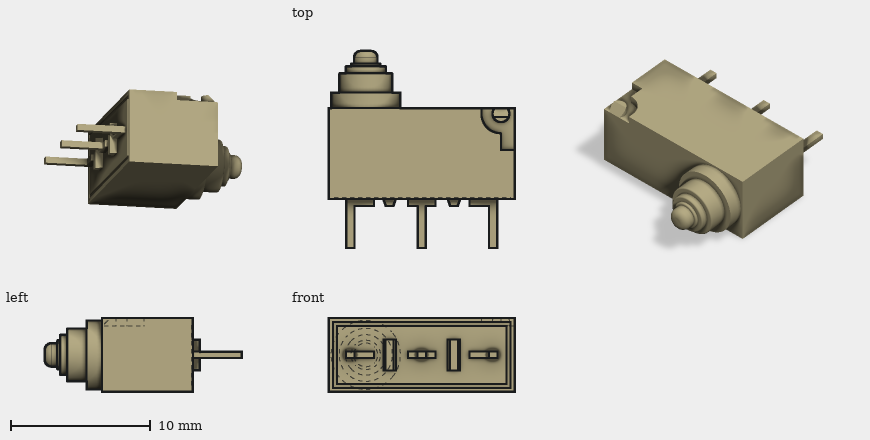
import cadquery as cq


case_length = 13.3
case_depth = 6.5
case_thickness = 5.3
case_right = case_length / 2
case_top = case_thickness / 2

groove_outer_margin = 0.3
groove_inner_margin = 0.58
groove_depth = 0.1

plunger_x = -4.0
plunger_steps = [
    (4.95, 1.1, 0),
    (3.8, 2.5, 0.1),
    (2.9, 3.0, 0.1),
    (2.1, 3.2, 0.1),
    (1.7, 4.1, 0.5),
]

post_diameter = 1.2
post_x = case_right - 0.99
post_y = case_depth - 0.4
post_crest_y = case_depth - 0.62
recess_radius = 1.4
recess_depth = 0.6
recess_foot_y = case_depth - 3.0

terminal_pitch = 5.1
terminal_width = 0.6
terminal_thickness = 0.45
terminal_length = 3.5
terminal_bar_length = 2.0
terminal_bar_height = 0.5
outer_bar_shift = (terminal_bar_length - terminal_width) / 2

rib_x = 2.3
rib_base_width = 0.9
rib_tip_width = 0.55
rib_height = 0.5
rib_span = 2.2


def box_on_terminal_face(x, length, reach, thickness):
    """Block centred on x and on Z = 0, standing out from the terminal face by reach."""
    return cq.Workplane("XY").box(length, reach, thickness).translate((x, -reach / 2, 0))


def make_case():
    return cq.Workplane("XY").box(case_length, case_depth, case_thickness).translate((0, case_depth / 2, 0))


def face_block(margin):
    """Block as deep as the groove, inset from the terminal face outline by margin."""
    length = case_length - 2 * margin
    thickness = case_thickness - 2 * margin
    return cq.Workplane("XY").box(length, groove_depth, thickness).translate((0, groove_depth / 2, 0))


def make_face_groove():
    return face_block(groove_outer_margin).cut(face_block(groove_inner_margin))


def make_corner_recess():
    return (
        cq.Workplane("XY", origin=(0, 0, case_top - recess_depth))
        .moveTo(post_x - recess_radius, case_depth)
        .lineTo(post_x - recess_radius, post_y)
        .radiusArc((post_x, post_y - recess_radius), -recess_radius)
        .lineTo(post_x, recess_foot_y)
        .lineTo(case_right, recess_foot_y)
        .lineTo(case_right, case_depth)
        .close()
        .extrude(recess_depth)
    )


def make_pivot_post():
    """Round post, trimmed by the plunger face and sloping from its crest down to the recess floor."""
    post = (
        cq.Workplane("XY", origin=(post_x, post_y, case_top - recess_depth))
        .circle(post_diameter / 2)
        .extrude(recess_depth)
    )
    keep_profile = (
        cq.Workplane("YZ", origin=(post_x - post_diameter, 0, 0))
        .moveTo(post_y - post_diameter, case_top - recess_depth)
        .lineTo(case_depth, case_top - recess_depth)
        .lineTo(post_crest_y, case_top)
        .lineTo(post_y - post_diameter, case_top)
        .close()
        .extrude(2 * post_diameter)
    )
    return post.intersect(keep_profile)


def make_plunger():
    plunger = None
    base = 0
    for diameter, end, rounding in plunger_steps:
        step = (
            cq.Workplane("XZ", origin=(plunger_x, case_depth + base, 0))
            .circle(diameter / 2)
            .extrude(base - end)
        )
        if rounding:
            step = step.faces(">Y").edges().fillet(rounding)
        plunger = plunger.union(step) if plunger else step
        base = end
    return plunger


def make_terminal(x, bar_shift):
    """Pin with a cross bar at its foot; bar_shift moves the bar along X from the pin."""
    pin = box_on_terminal_face(x, terminal_width, terminal_length, terminal_thickness)
    bar = box_on_terminal_face(x + bar_shift, terminal_bar_length, terminal_bar_height, terminal_thickness)
    return pin.union(bar)


def make_rib(x):
    return (
        cq.Workplane("XY", origin=(x, 0, 0))
        .moveTo(-rib_base_width / 2, 0)
        .lineTo(rib_base_width / 2, 0)
        .lineTo(rib_tip_width / 2, -rib_height)
        .lineTo(-rib_tip_width / 2, -rib_height)
        .close()
        .extrude(rib_span / 2, both=True)
    )


result = make_case().cut(make_face_groove()).cut(make_corner_recess())
result = result.union(make_pivot_post()).union(make_plunger())
for side in (-1, 0, 1):
    result = result.union(make_terminal(side * terminal_pitch, -side * outer_bar_shift))
for side in (-1, 1):
    result = result.union(make_rib(side * rib_x))